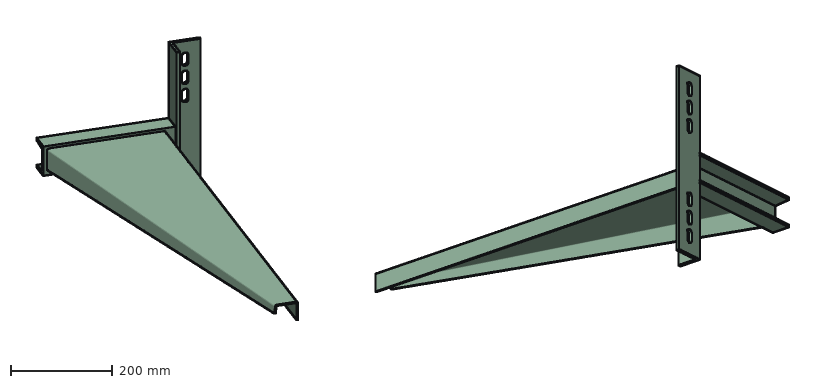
import cadquery as cq
import math


post_height = 400.0
post_wall_leg = 65.0
post_side_leg = 50.0
leg_thickness = 7.0

slot_width = 14.0
slot_length = 29.0
slot_pitch = 40.0
slots_per_end = 3

channel_length = 276.0
channel_height = 65.0
channel_width = 42.0
channel_web = 7.0
flange_tip_thickness = 5.0
flange_root_thickness = 8.5

arm_end_x = 852.5
sheet_thickness = 3.0
bend_radius = 5.0
arm_top_drop = 6.0
arm_top_z = channel_height / 2 - arm_top_drop
arm_back_y = -20.0
arm_root_front_y = -268.5
arm_tip_front_y = -68.0
back_flange_depth = 41.0
front_flange_root_depth = 47.0
front_flange_tip_depth = 20.0
front_flange_setback = 2.5

arm_run = arm_end_x - channel_width
arm_rise = arm_tip_front_y - arm_root_front_y
front_edge_length = math.hypot(arm_run, arm_rise)
slope_cos = arm_run / front_edge_length
slope_sin = arm_rise / front_edge_length


def make_post():
    """Upright angle with a row of slots near each end."""
    post = (
        cq.Workplane("XY", origin=(0, 0, -post_height / 2))
        .polyline([
            (0, 0),
            (post_side_leg, 0),
            (post_side_leg, leg_thickness),
            (leg_thickness, leg_thickness),
            (leg_thickness, post_wall_leg),
            (0, post_wall_leg),
        ])
        .close()
        .extrude(post_height)
    )
    slot_heights = [
        end * (post_height / 2 - slot_pitch * step)
        for end in (-1, 1)
        for step in range(1, slots_per_end + 1)
    ]
    slots = (
        cq.Workplane("YZ")
        .pushPoints([(post_wall_leg / 2, height) for height in slot_heights])
        .slot2D(slot_length, slot_width, 90)
        .extrude(leg_thickness)
    )
    return post.cut(slots)


def make_channel():
    """Channel lying along Y, open towards -X, with flanges that thin towards their tips."""
    half_height = channel_height / 2
    web_inner_x = channel_width - channel_web
    tip_z = half_height - flange_tip_thickness
    root_z = half_height - flange_root_thickness
    return (
        cq.Workplane("XZ")
        .polyline([
            (0, half_height),
            (channel_width, half_height),
            (channel_width, -half_height),
            (0, -half_height),
            (0, -tip_z),
            (web_inner_x, -root_z),
            (web_inner_x, root_z),
            (0, tip_z),
        ])
        .close()
        .extrude(channel_length)
    )


def folded_edge(start, direction, outward, depth, length):
    """Bend and hanging flange, swept from a start point on the flange's outer face."""
    profile_plane = cq.Plane(origin=(*start, arm_top_z), xDir=(*outward, 0), normal=(*direction, 0))
    up = profile_plane.yDir.z
    inner_radius = bend_radius - sheet_thickness
    diagonal = math.sqrt(0.5)

    def arc_middle(radius):
        return (-bend_radius + radius * diagonal, up * (-bend_radius + radius * diagonal))

    return (
        cq.Workplane(profile_plane)
        .moveTo(-bend_radius, 0)
        .threePointArc(arc_middle(bend_radius), (0, -up * bend_radius))
        .lineTo(0, -up * depth)
        .lineTo(-sheet_thickness, -up * depth)
        .lineTo(-sheet_thickness, -up * bend_radius)
        .threePointArc(arc_middle(inner_radius), (-bend_radius, -up * sheet_thickness))
        .close()
        .extrude(length)
    )


def make_back_edge(length):
    """Straight fold of constant depth along the back of the arm."""
    return folded_edge((channel_width, arm_back_y), (1, 0), (0, 1), back_flange_depth, length)


def make_front_edge():
    """Sloping fold, leaning back at its tip, that gets shallower towards the tip."""
    tip = (arm_end_x, arm_tip_front_y)
    edge = folded_edge(
        tip,
        (-slope_cos, -slope_sin),
        (slope_sin, -slope_cos),
        front_flange_root_depth,
        front_edge_length + bend_radius,
    )
    trim = (
        cq.Workplane("XZ")
        .polyline([
            (channel_width, arm_top_z),
            (arm_end_x, arm_top_z),
            (arm_end_x, arm_top_z - bend_radius),
            (arm_end_x - front_flange_setback, arm_top_z - front_flange_tip_depth),
            (channel_width, arm_top_z - front_flange_root_depth),
        ])
        .close()
        .extrude(channel_length)
    )
    return edge.intersect(trim)


def make_arm():
    """Tapering sheet plate with a flange folded down along each long edge."""
    plate_end_x = arm_end_x - bend_radius * slope_sin
    plate_tip_y = arm_tip_front_y + bend_radius * slope_cos
    plate_root_y = arm_root_front_y + bend_radius / slope_cos
    plate_back_y = arm_back_y - bend_radius
    plate = (
        cq.Workplane("XY", origin=(0, 0, arm_top_z - sheet_thickness))
        .polyline([
            (channel_width, plate_root_y),
            (plate_end_x, plate_tip_y),
            (plate_end_x, plate_back_y),
            (channel_width, plate_back_y),
        ])
        .close()
        .extrude(sheet_thickness)
    )
    return plate.union(make_back_edge(plate_end_x - channel_width)).union(make_front_edge())


post = make_post()
channel = make_channel()
arm = make_arm()

result = cq.Compound.makeCompound([post.val(), channel.val(), arm.val()])